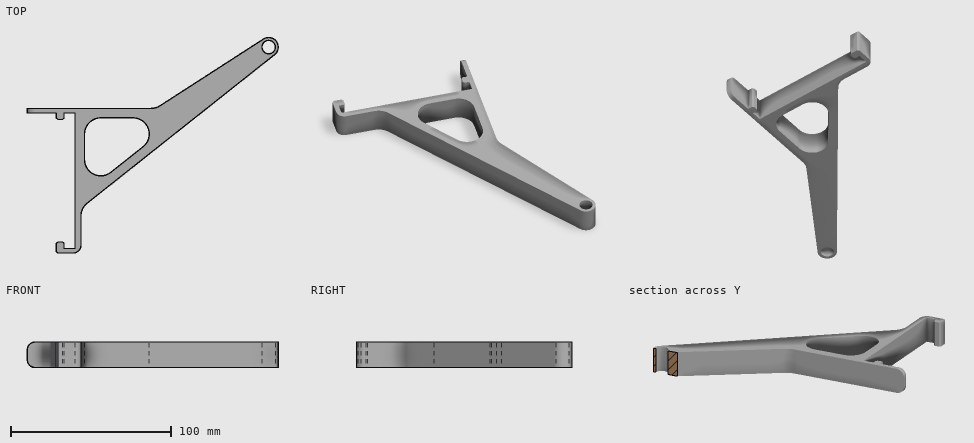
import cadquery as cq
import math

thickness = 16.0
height = 90.0

flange = 3.0
post_left = 29.7
post_width = 3.8
post_right = post_left + post_width
post_corner_radius = 5.0
tab_corner_radius = 5.0

lip_left = 18.0
lip_width = 5.0
lip_right = lip_left + lip_width
lip_depth = 4.0
lip_chamfer = 1.0

eye_x = 150.0
eye_y = 128.0
eye_radius = 6.0
eye_hole_diameter = 8.2
arm_top_root_x = 80.0
arm_bottom_root_y = 28.0
arm_root_radius = 10.0

window_wall = 6.0
window_radius = 10.0


def tangent_angle(start_x, start_y, side):
    """Direction of the line from a point that touches the eye on its left (+1) or right (-1)."""
    run = eye_x - start_x
    rise = eye_y - start_y
    return math.atan2(rise, run) + side * math.asin(eye_radius / math.hypot(run, rise))


def eye_point(angle):
    """Point on the outer round of the eye at the given angle."""
    return (eye_x + eye_radius * math.cos(angle), eye_y + eye_radius * math.sin(angle))


upper_angle = tangent_angle(arm_top_root_x, height, 1)
lower_angle = tangent_angle(post_right, arm_bottom_root_y, -1)


def upright_edge(solid, x, y):
    """Select the single vertical edge standing at (x, y)."""
    return solid.edges("|Z").edges(cq.selectors.NearestToPointSelector((x, y, thickness / 2)))


def make_body():
    """Clamp and arm as one extruded outline, with the eye as an arc."""
    upper_normal = upper_angle + math.pi / 2
    lower_normal = lower_angle - math.pi / 2
    middle_normal = (upper_normal + lower_normal) / 2
    top_inner = height - flange
    bottom_lip_end = flange + lip_depth
    top_lip_end = top_inner - lip_depth
    body = (
        cq.Workplane("XY")
        .moveTo(0, height)
        .lineTo(arm_top_root_x, height)
        .lineTo(*eye_point(upper_normal))
        .threePointArc(eye_point(middle_normal), eye_point(lower_normal))
        .lineTo(post_right, arm_bottom_root_y)
        .lineTo(post_right, 0)
        .lineTo(lip_left, 0)
        .lineTo(lip_left, bottom_lip_end)
        .lineTo(lip_right, bottom_lip_end)
        .lineTo(lip_right, flange)
        .lineTo(post_left, flange)
        .lineTo(post_left, top_inner)
        .lineTo(lip_right, top_inner)
        .lineTo(lip_right, top_lip_end)
        .lineTo(lip_left, top_lip_end)
        .lineTo(lip_left, top_inner)
        .lineTo(0, top_inner)
        .close()
        .extrude(thickness)
    )
    body = upright_edge(body, arm_top_root_x, height).fillet(arm_root_radius)
    body = upright_edge(body, post_right, arm_bottom_root_y).fillet(arm_root_radius)
    body = upright_edge(body, post_right, 0).fillet(post_corner_radius)
    body = upright_edge(body, lip_left, 0).chamfer(lip_chamfer)
    for x in (lip_left, lip_right):
        for y in (bottom_lip_end, top_lip_end):
            body = upright_edge(body, x, y).chamfer(lip_chamfer)
    return body.faces("<X").edges("|Y").fillet(tab_corner_radius)


def make_window():
    """Three-sided cutter set one wall in from the post, the top edge and the lower arm edge."""
    left = post_left + window_wall
    top = height - window_wall
    slope = math.tan(lower_angle)
    lower_edge_offset = window_wall / math.cos(lower_angle)
    bottom = arm_bottom_root_y + lower_edge_offset + slope * (left - post_right)
    right = left + (top - bottom) / slope
    return (
        cq.Workplane("XY")
        .polyline([(left, top), (left, bottom), (right, top)])
        .close()
        .extrude(thickness)
        .edges("|Z")
        .fillet(window_radius)
    )


def make_eye_hole():
    """Through bore of the eye."""
    return cq.Workplane("XY").center(eye_x, eye_y).circle(eye_hole_diameter / 2).extrude(thickness)


result = make_body().cut(make_window()).cut(make_eye_hole())